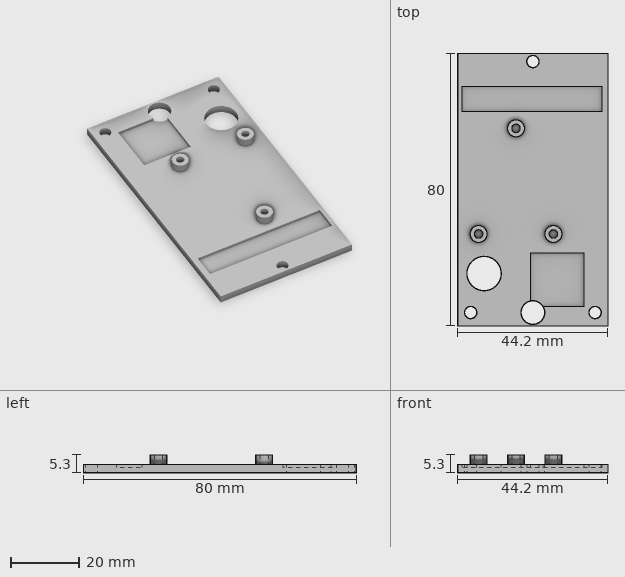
import cadquery as cq

plate_width = 44.2
plate_length = 80.0
plate_thickness = 2.5
total_height = 5.3
center_x = plate_width / 2

mount_diameter = 3.5
mount_half_spacing = 18.2
bottom_row_y = 4.0
top_hole_edge_distance = 2.4

middle_opening_diameter = 6.9
large_opening_diameter = 10.0
large_opening_center = (7.8, 15.4)

standoff_diameter = 5.0
standoff_bore = 2.5
standoff_height = total_height - plate_thickness
standoff_axis_x = 17.1
standoff_half_spacing = 11.0
standoff_lower_y = 27.0
standoff_upper_y = 58.0

pocket_depth = 1.0
strip_corner = (1.3, 62.9)
strip_size = (41.0, 7.4)
square_corner = (21.4, 5.8)
square_side = 15.7


def through_holes(diameter, centers):
    """Cylinders that cut right through the plate."""
    return cq.Workplane("XY").pushPoints(centers).circle(diameter / 2).extrude(plate_thickness)


def pocket(corner, size):
    """Rectangular pocket sunk from the top face, placed by its lower left corner."""
    floor = plate_thickness - pocket_depth
    return cq.Workplane("XY").box(*size, pocket_depth, centered=False).translate((*corner, floor))


plate = cq.Workplane("XY").box(plate_width, plate_length, plate_thickness, centered=False)

mount_centers = [
    (center_x - mount_half_spacing, bottom_row_y),
    (center_x + mount_half_spacing, bottom_row_y),
    (center_x, plate_length - top_hole_edge_distance),
]
plate = plate.cut(through_holes(mount_diameter, mount_centers))
plate = plate.cut(through_holes(middle_opening_diameter, [(center_x, bottom_row_y)]))
plate = plate.cut(through_holes(large_opening_diameter, [large_opening_center]))

plate = plate.cut(pocket(strip_corner, strip_size))
plate = plate.cut(pocket(square_corner, (square_side, square_side)))

standoff_centers = [
    (standoff_axis_x - standoff_half_spacing, standoff_lower_y),
    (standoff_axis_x + standoff_half_spacing, standoff_lower_y),
    (standoff_axis_x, standoff_upper_y),
]
standoffs = (
    cq.Workplane("XY", origin=(0, 0, plate_thickness))
    .pushPoints(standoff_centers)
    .circle(standoff_diameter / 2)
    .circle(standoff_bore / 2)
    .extrude(standoff_height)
)

result = plate.union(standoffs)